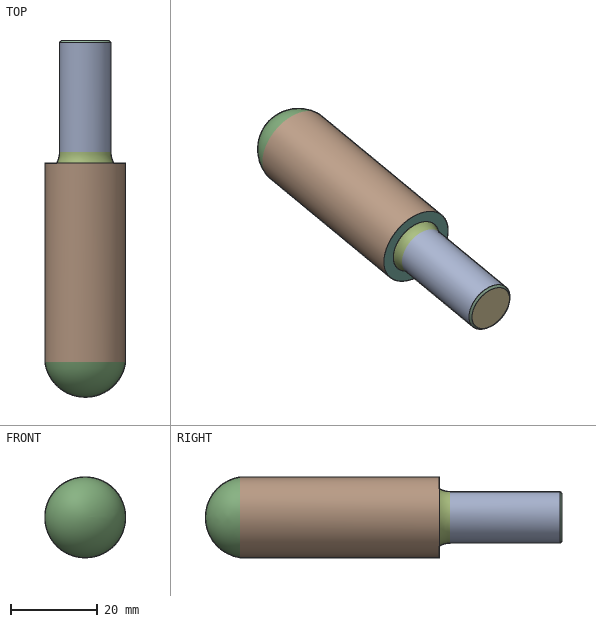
import cadquery as cq
import math

total_length = 82.75
body_diameter = 18.8
shank_diameter = 12.0
shank_length = 28.5
dome_height = 8.1
end_chamfer = 0.5
flare_length = 2.6
flare_height = 0.7

tip_y = -total_length / 2
dome_base_y = tip_y + dome_height
shank_end_y = total_length / 2
shoulder_y = shank_end_y - shank_length
flare_start_y = shoulder_y + flare_length

body_radius = body_diameter / 2
shank_radius = shank_diameter / 2

dome_radius = (body_radius**2 + dome_height**2) / (2 * dome_height)
dome_center_y = tip_y + dome_radius
dome_mid_angle = math.asin(body_radius / dome_radius) / 2
dome_mid_point = (
    dome_radius * math.sin(dome_mid_angle),
    dome_center_y - dome_radius * math.cos(dome_mid_angle),
)

flare_radius = (flare_length**2 + flare_height**2) / (2 * flare_height)
flare_mid_angle = math.asin(flare_length / flare_radius) / 2
flare_mid_point = (
    shank_radius + flare_radius * (1 - math.cos(flare_mid_angle)),
    flare_start_y - flare_radius * math.sin(flare_mid_angle),
)

profile = (
    cq.Workplane("XY")
    .moveTo(0, tip_y)
    .threePointArc(dome_mid_point, (body_radius, dome_base_y))
    .lineTo(body_radius, shoulder_y)
    .lineTo(shank_radius + flare_height, shoulder_y)
    .threePointArc(flare_mid_point, (shank_radius, flare_start_y))
    .lineTo(shank_radius, shank_end_y - end_chamfer)
    .lineTo(shank_radius - end_chamfer, shank_end_y)
    .lineTo(0, shank_end_y)
    .close()
)
result = profile.revolve(360, (0, 0, 0), (0, 1, 0))